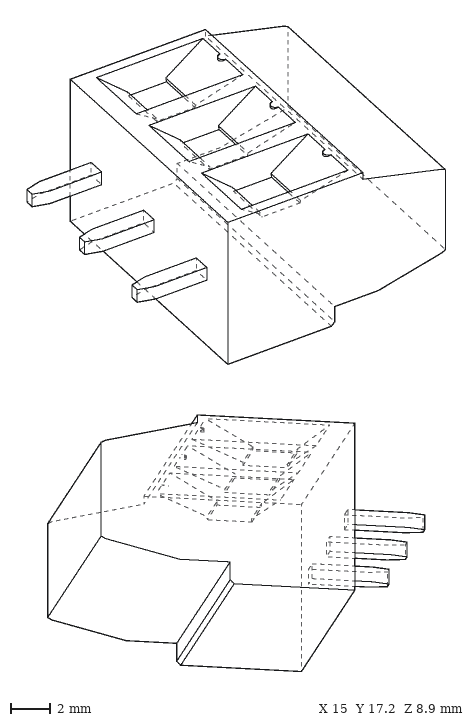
import cadquery as cq

OVERALL_LENGTH = 17.25
POLES = 3
PITCH = 5.0

BODY_WIDTH = POLES * PITCH
BODY_LENGTH = 13.2
BODY_HEIGHT = 8.9

UPPER_STEP_Y = BODY_LENGTH - PITCH
UPPER_STEP_DROP = 0.41
BACK_EDGE_CHAMFER = 0.22
BACK_TOP_Z = 7.18
BACK_BOTTOM_Z = 2.17
BACK_CHAMFER_RISE = 0.12
LEDGE_Z = 1.15
LEDGE_END_Y = 9.1
FOOT_LENGTH = 6.49
FOOT_CHAMFER = 0.2

FUNNEL_WIDTH = 3.8
FUNNEL_FLOOR_WIDTH = 2.69
FUNNEL_FRONT_Y = 1.2
FUNNEL_BACK_Y = 7.66
FLOOR_FRONT_Y = 2.8
FLOOR_BACK_Y = 5.1
FUNNEL_DEPTH = 1.41
FLOOR_LIP = 0.19
RIB_RADIUS = 0.28

PIN_WIDTH = 1.0
PIN_TIP_WIDTH = PIN_WIDTH / 2
PIN_THICKNESS = 0.8
PIN_CENTRE_Z = 4.48
PIN_LENGTH = OVERALL_LENGTH - BODY_LENGTH
PIN_TIP_LENGTH = 0.91

POLE_POSITIONS = [(i - (POLES - 1) / 2) * PITCH for i in range(POLES)]


def make_housing():
    """Housing outline in the YZ plane, extruded across the full width."""
    outline = [
        (0, 0),
        (FOOT_LENGTH - FOOT_CHAMFER, 0),
        (FOOT_LENGTH, FOOT_CHAMFER),
        (FOOT_LENGTH, LEDGE_Z),
        (LEDGE_END_Y, LEDGE_Z),
        (BODY_LENGTH - BACK_EDGE_CHAMFER, BACK_BOTTOM_Z - BACK_CHAMFER_RISE),
        (BODY_LENGTH, BACK_BOTTOM_Z),
        (BODY_LENGTH, BACK_TOP_Z),
        (BODY_LENGTH - BACK_EDGE_CHAMFER, BACK_TOP_Z + BACK_CHAMFER_RISE),
        (UPPER_STEP_Y, BODY_HEIGHT - UPPER_STEP_DROP),
        (UPPER_STEP_Y, BODY_HEIGHT),
        (0, BODY_HEIGHT),
    ]
    return cq.Workplane("YZ").polyline(outline).close().extrude(BODY_WIDTH / 2, both=True)


def make_funnel(x):
    """Funnel cavity: sloped end walls, converging side walls and a round rib left on the back wall."""
    floor_z = BODY_HEIGHT - FUNNEL_DEPTH
    lip_z = floor_z + FLOOR_LIP
    end_walls = (
        cq.Workplane("YZ")
        .polyline([
            (FUNNEL_FRONT_Y, BODY_HEIGHT),
            (FLOOR_FRONT_Y, lip_z),
            (FLOOR_FRONT_Y, floor_z),
            (FLOOR_BACK_Y, floor_z),
            (FLOOR_BACK_Y, lip_z),
            (FUNNEL_BACK_Y, BODY_HEIGHT),
        ])
        .close()
        .extrude(FUNNEL_WIDTH / 2, both=True)
    )
    side_walls = (
        cq.Workplane("XZ")
        .polyline([
            (-FUNNEL_WIDTH / 2, BODY_HEIGHT),
            (-FUNNEL_FLOOR_WIDTH / 2, floor_z),
            (FUNNEL_FLOOR_WIDTH / 2, floor_z),
            (FUNNEL_WIDTH / 2, BODY_HEIGHT),
        ])
        .close()
        .extrude(-BODY_LENGTH)
    )
    rib = (
        cq.Workplane("XY", origin=(0, FUNNEL_BACK_Y, floor_z))
        .circle(RIB_RADIUS)
        .extrude(FUNNEL_DEPTH)
    )
    return end_walls.intersect(side_walls).cut(rib).translate((x, 0, 0))


def make_pin(x):
    """Flat pin leaving the front face toward -Y."""
    shoulder_y = PIN_TIP_LENGTH - PIN_LENGTH
    outline = [
        (-PIN_WIDTH / 2, 0),
        (-PIN_WIDTH / 2, shoulder_y),
        (-PIN_TIP_WIDTH / 2, -PIN_LENGTH),
        (PIN_TIP_WIDTH / 2, -PIN_LENGTH),
        (PIN_WIDTH / 2, shoulder_y),
        (PIN_WIDTH / 2, 0),
    ]
    return (
        cq.Workplane("XY", origin=(x, 0, PIN_CENTRE_Z))
        .polyline(outline)
        .close()
        .extrude(PIN_THICKNESS / 2, both=True)
    )


result = make_housing()
for pole_x in POLE_POSITIONS:
    result = result.cut(make_funnel(pole_x)).union(make_pin(pole_x))